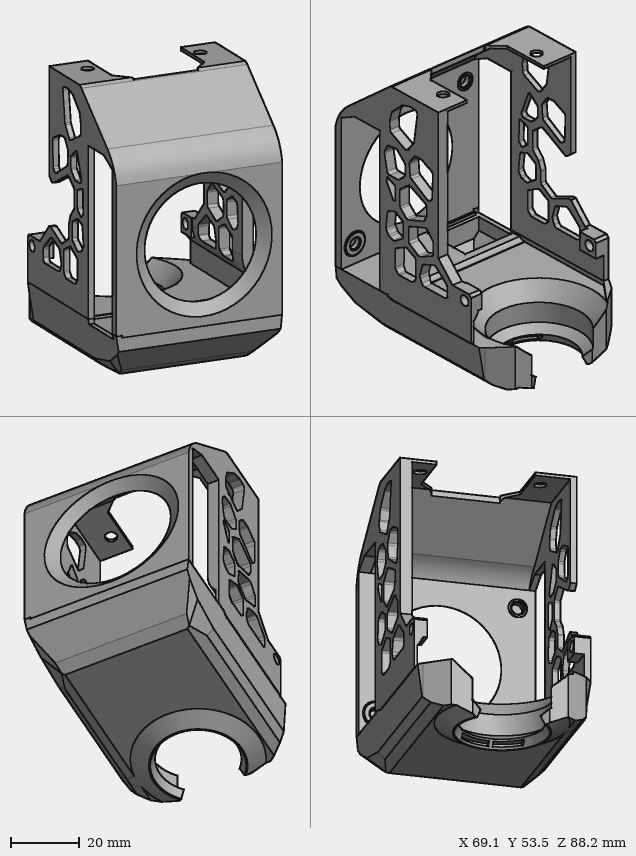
import cadquery as cq
import math

LENGTH = 69.1
WIDTH = 53.5
HEIGHT = 88.15
HALF_WIDTH = WIDTH / 2
MARGIN = 1.8

BACK_WALL = 2.65
LEFT_WALL = 3.6
RIGHT_WALL = 1.9
ROOF = 1.0
BACK_INNER_X = LENGTH - BACK_WALL
LEFT_INNER_Y = HALF_WIDTH - LEFT_WALL
RIGHT_INNER_Y = RIGHT_WALL - HALF_WIDTH
ROOF_UNDERSIDE = HEIGHT - ROOF

EAR_FRONT_X = 9.9
EAR_BOTTOM_Z = 27.1
EAR_TOP_Z = 33.15
EAR_CHAMFER = 0.9
LEFT_EAR_THICKNESS = 4.05
LEFT_EAR_LENGTH = 6.7
RIGHT_EAR_THICKNESS = 4.9
RIGHT_EAR_LENGTH = 7.05
EAR_HOLE_D = 3.4
EAR_HOLE_X = 12.8
EAR_HOLE_Z = 30.2

WALL_FRONT_X = 24.15
WALL_STEP_Z = 39.5
WALL_STEP_X = 18.0

SLOPE_TOP = (45.75, 87.5)
SLOPE_BOTTOM = (63.1, 74.0)
ROOF_EDGE_X = 44.4
SHOULDER_MID = (67.2, 69.5)
SHOULDER_END_Z = 64.4

INNER_SLOPE_TOP_X = 43.6
INNER_SLOPE_BOTTOM = (61.0, 73.9)
INNER_SHOULDER_MID = (64.5, 71.3)
INNER_SHOULDER_END_Z = 68.5

RECESS_TOP_Z = 30.8
RECESS_FOOT_Z = 24.15
RECESS_FOOT_Y = 25.7

WINDOW_RIGHT_X = 50.3
WINDOW_LEFT_X = 49.8
WINDOW_TOP_Z = 71.3
WINDOW_SILL_Z = 16.9
WINDOW_SLANT_X = 60.65

ROOF_NOTCH_Y = 0.7
ROOF_NOTCH_WIDTH = 29.9
ROOF_NOTCH_END_WIDTH = 20.8
ROOF_NOTCH_SLANT_X = 40.1
ROOF_NOTCH_END_X = 45.2
ROOF_HOLE_D = 3.7
ROOF_HOLE_X = 31.2
ROOF_HOLE_SPACING = 36.3
ROOF_HOLE_MID_Y = 0.4

FAN_HOLE_D = 35.9
FAN_HOLE_FLARE = 3.9
FAN_HOLE_Y = 1.6
FAN_HOLE_Z = 42.7
SCREW_HOLE_D = 3.6
SCREW_HOLE_RIM_D = 4.3
SCREW_HOLE_RIM_DEPTH = 0.35
SCREW_HOLE_DEPTH = 2.1
BOSS_HEIGHT = 0.3
BOSSES = [
    (-21.3, 62.5, 5.6, 5.6),
    (21.5, 24.6, 7.2, 8.1),
]

FLOOR_FRONT_Z = 17.0
FLOOR_BACK_Z = 17.9
FLOOR_STEP_X = 44.25
FLOOR_STEP_FOOT_Z = 17.2
FLOOR_STEP_MID = (45.7, 17.4)
FLOOR_STEP_END_X = 46.5
SEAM_Z = 18.5
RIM_START = (1.5, 17.9)
RIM_START_Y = -18.5
NOSE_TIP_LEFT_Y = 18.3
NOSE_TIP_RIGHT_Y = -17.0
NOSE_LEFT_CORNER = (5.5, 25.4)
NOSE_LEFT_END_X = 6.7
NOSE_RIGHT_CORNER = (5.6, -24.15)

BASE_BOTTOM_Z = 2.8
BASE_BOTTOM_END_X = 57.1
BACK_CHAMFER_LOW = (60.65, 5.3)
BACK_CHAMFER_TOP_Z = 13.75
SIDE_FOOT = (24.9, 6.5)
SIDE_CHAMFER = (22.7, 4.4)
BOTTOM_EDGE_Y = 19.6
LEFT_SHIFT = 0.7
FACET_START_X = 50.95
FACET_CORNER = (61.6, -25.2, 8.7)
FACET_FOOT = (58.35, -21.1, 4.05)
FACET_TIP = (67.0, -25.7, 12.0)

NOZZLE_X = 10.2
NOZZLE_BOTTOM_R = 14.4
NOZZLE_TOP_R = 22.7
BOWL_TOP_R = 20.7
BORE_R = 15.7
BOWL_FOOT_Z = 11.7
BORE_FOOT_Z = 5.1
THROAT_R = 12.5
THROAT_Z = 2.8
MOUTH_R = 13.9
LIP_END = (1.5, 9.2)
LIP_RIGHT_Y = -11.5

SLOT_BOTTOM_Z = 0.8
SLOT_TOP_Z = 2.2
SLOT_HALF_SPAN = 9.3
SLOT_RIB = 1.2
SLOT_RIB_Y = -0.5
SLOT_R = 15.0

DUCT_FRONT_X = 49.3
DUCT_BACK_X = 64.35
DUCT_LEDGE_X = 65.7
DUCT_LEFT_Y = -6.2
DUCT_RIGHT_Y = RIGHT_INNER_Y
DUCT_SHELL = 1.9
DUCT_CORNER_Y = -17.6
DUCT_CORNER_Z = 12.3


def prism_y(points, y_low, y_high):
    """Solid with an X-Z polygon, reaching from y_low to y_high."""
    return extrude_y(cq.Workplane("XZ").polyline(points).close(), y_low, y_high)


def extrude_y(outline, y_low, y_high):
    """Extrude a closed X-Z outline from y_low to y_high."""
    return outline.extrude(y_high - y_low).translate((0, y_high, 0))


def prism_z(points, z_low, z_high):
    """Solid with an X-Y polygon, reaching from z_low to z_high."""
    sketch = cq.Workplane("XY").workplane(offset=z_low).polyline(points).close()
    return sketch.extrude(z_high - z_low)


def block(x_range, y_range, z_range):
    """Box between two limits along each axis."""
    size = [high - low for low, high in (x_range, y_range, z_range)]
    corner = (x_range[0], y_range[0], z_range[0])
    return cq.Workplane("XY").box(*size, centered=False).translate(corner)


def turned_x(profile):
    """Solid of revolution about the X axis from (X, radius) points."""
    return cq.Workplane("XY").polyline(profile).close().revolve(360, (0, 0, 0), (1, 0, 0))


def mirrored(points):
    """Close a half outline with its mirror image in the second coordinate."""
    return points + [(x, -y) for x, y in reversed(points)]


def space_below_seam():
    """Everything under the seam between base and frame."""
    outline = (
        cq.Workplane("XZ")
        .moveTo(-MARGIN, -MARGIN)
        .lineTo(LENGTH + MARGIN, -MARGIN)
        .lineTo(LENGTH + MARGIN, FLOOR_BACK_Z)
        .lineTo(FLOOR_STEP_END_X, FLOOR_BACK_Z)
        .threePointArc(FLOOR_STEP_MID, (FLOOR_STEP_X, FLOOR_STEP_FOOT_Z))
        .lineTo(FLOOR_STEP_X, FLOOR_FRONT_Z)
        .lineTo(-MARGIN, FLOOR_FRONT_Z)
        .close()
    )
    floor = extrude_y(outline, -HALF_WIDTH - MARGIN, HALF_WIDTH + MARGIN)
    rim_side = prism_y(
        [
            (RIM_START[0], 0),
            RIM_START,
            (EAR_FRONT_X, SEAM_Z),
            (LENGTH, SEAM_Z),
            (LENGTH, 0),
        ],
        -HALF_WIDTH - MARGIN,
        0,
    )
    rim_plan = prism_z(
        [
            (RIM_START[0], RIM_START_Y),
            (EAR_FRONT_X, RIGHT_INNER_Y),
            (LENGTH, RIGHT_INNER_Y),
            (LENGTH, -HALF_WIDTH - MARGIN),
            (RIM_START[0], -HALF_WIDTH - MARGIN),
        ],
        0,
        HEIGHT,
    )
    return floor.union(rim_side.intersect(rim_plan))


def frame_outline():
    """Side outline of the frame, from the floor up to the roof."""
    return (
        cq.Workplane("XZ")
        .moveTo(EAR_FRONT_X, 0)
        .lineTo(EAR_FRONT_X, EAR_TOP_Z - EAR_CHAMFER)
        .lineTo(EAR_FRONT_X + EAR_CHAMFER, EAR_TOP_Z)
        .lineTo(WALL_STEP_X, EAR_TOP_Z)
        .lineTo(WALL_FRONT_X, WALL_STEP_Z)
        .lineTo(WALL_FRONT_X, HEIGHT)
        .lineTo(ROOF_EDGE_X, HEIGHT)
        .lineTo(*SLOPE_TOP)
        .lineTo(*SLOPE_BOTTOM)
        .threePointArc(SHOULDER_MID, (LENGTH, SHOULDER_END_Z))
        .lineTo(LENGTH, 0)
        .close()
    )


def frame_cavity():
    """Space between the two side walls."""
    outline = (
        cq.Workplane("XZ")
        .moveTo(0, 0)
        .lineTo(BACK_INNER_X, 0)
        .lineTo(BACK_INNER_X, INNER_SHOULDER_END_Z)
        .threePointArc(INNER_SHOULDER_MID, INNER_SLOPE_BOTTOM)
        .lineTo(INNER_SLOPE_TOP_X, ROOF_UNDERSIDE)
        .lineTo(0, ROOF_UNDERSIDE)
        .close()
    )
    return extrude_y(outline, RIGHT_INNER_Y, LEFT_INNER_Y)


def left_wall_recess():
    """Undercut that thins the foot of the left wall below a rounded edge."""
    drop = RECESS_TOP_Z - RECESS_FOOT_Z
    depth = RECESS_FOOT_Y - LEFT_INNER_Y
    radius = (drop ** 2 + depth ** 2) / (2 * depth)
    half_angle = math.asin(drop / radius) / 2
    middle = (
        LEFT_INNER_Y + radius * (1 - math.cos(half_angle)),
        RECESS_TOP_Z - radius * math.sin(half_angle),
    )
    return (
        cq.Workplane("YZ")
        .moveTo(LEFT_INNER_Y, RECESS_TOP_Z)
        .threePointArc(middle, (RECESS_FOOT_Y, RECESS_FOOT_Z))
        .lineTo(RECESS_FOOT_Y, 0)
        .lineTo(LEFT_INNER_Y, 0)
        .close()
        .extrude(WINDOW_RIGHT_X)
    )


def ears():
    """Thickened pads at the front of the walls, without their hole."""
    left = block(
        (EAR_FRONT_X, EAR_FRONT_X + LEFT_EAR_LENGTH),
        (HALF_WIDTH - LEFT_EAR_THICKNESS, HALF_WIDTH),
        (EAR_BOTTOM_Z, EAR_TOP_Z),
    )
    right = block(
        (EAR_FRONT_X, EAR_FRONT_X + RIGHT_EAR_LENGTH),
        (-HALF_WIDTH, RIGHT_EAR_THICKNESS - HALF_WIDTH),
        (EAR_BOTTOM_Z, EAR_TOP_Z),
    )
    pads = left.union(right)
    return pads.intersect(extrude_y(frame_outline(), -HALF_WIDTH, HALF_WIDTH))


def ear_hole():
    """One bore along Y through both ears."""
    circle = cq.Workplane("XZ").center(EAR_HOLE_X, EAR_HOLE_Z).circle(EAR_HOLE_D / 2)
    return extrude_y(circle, -HALF_WIDTH - MARGIN, HALF_WIDTH + MARGIN)


def window(front_x, y_low, y_high):
    """Tall opening at the back of a side wall, with a slanted upper corner."""
    return prism_y(
        [
            (front_x, 0),
            (front_x, WINDOW_TOP_Z),
            (WINDOW_SLANT_X, WINDOW_TOP_Z),
            (BACK_INNER_X, INNER_SHOULDER_END_Z),
            (BACK_INNER_X, 0),
        ],
        y_low,
        y_high,
    )


def roof_notch():
    """Notch in the roof, open to the front and narrowed at its end."""
    slant_end_x = ROOF_NOTCH_SLANT_X + (ROOF_NOTCH_WIDTH - ROOF_NOTCH_END_WIDTH) / 2
    half_plan = [
        (0, ROOF_NOTCH_WIDTH / 2),
        (ROOF_NOTCH_SLANT_X, ROOF_NOTCH_WIDTH / 2),
        (slant_end_x, ROOF_NOTCH_END_WIDTH / 2),
        (ROOF_NOTCH_END_X, ROOF_NOTCH_END_WIDTH / 2),
    ]
    cutter = prism_z(mirrored(half_plan), WINDOW_TOP_Z, HEIGHT + MARGIN)
    return cutter.translate((0, ROOF_NOTCH_Y, 0))


def roof_holes():
    """Screw holes in the two roof tabs."""
    return (
        cq.Workplane("XY")
        .workplane(offset=ROOF_UNDERSIDE - MARGIN)
        .center(ROOF_HOLE_X, ROOF_HOLE_MID_Y)
        .rarray(0.9, ROOF_HOLE_SPACING, 1, 2)
        .circle(ROOF_HOLE_D / 2)
        .extrude(ROOF + 2 * MARGIN)
    )


COMMON_CELLS = [
    (
        [
            (33.2, 84.6), (36.6, 84.9), (39.9, 83.9), (44.4, 79.9),
            (45.3, 76.5), (45.2, 72.9), (38.0, 69.4), (34.8, 73.6),
        ],
        1.15,
    ),
    ([(26.6, 67), (31.5, 69.3), (34.55, 69.3), (36.85, 66.0), (36.4, 61.3), (28.2, 56.5), (26.9, 58.1)], 1.1),
    ([(39.5, 45.05), (43.1, 47.2), (46.3, 46.0), (47.1, 39.7), (45.8, 37.9), (43.5, 37), (39.5, 39.7)], 1.1),
    ([(20.1, 27.4), (20.4, 32.0), (25.65, 36.6), (31.0, 34.55), (32.35, 30.1), (31.0, 27.4)], 1.4),
    ([(34.0, 35.2), (38.2, 37.3), (43.0, 34.8), (43.0, 28.2), (41.5, 26.7), (35.5, 26.7), (34.0, 28.2)], 0.7),
]
LEFT_CELLS = [
    ([(38.7, 64.9), (42.3, 68.2), (46.3, 67.9), (47.8, 65.05), (46.4, 58.3), (41.5, 58.3), (38.7, 60.9)], 1.1),
    ([(29.3, 55.0), (36.8, 58.5), (40.9, 55.5), (40.9, 49.45), (37.7, 46.6), (30.4, 49.2), (29.3, 51.6)], 0.9),
    ([(29.4, 47.4), (37.1, 44.7), (37.2, 39.3), (32.5, 36.4), (26.45, 39.3), (26.45, 44.1)], 1.1),
    ([(43.0, 55.8), (46.6, 57.2), (46.8, 55.8), (43.7, 50.4), (43.0, 50.8)], 0.3),
]
RIGHT_CELLS = [
    ([(38.7, 64.7), (42.5, 67.8), (45.8, 59.3), (45.05, 58.3), (41.5, 58.3), (38.7, 60.9)], 0.5),
    ([(43.0, 55.8), (46.6, 57.2), (46.9, 49.45), (45.5, 48.0), (43.0, 50.2)], 0.4),
    (
        [
            (21.2, 57.3), (26.3, 53.1), (36.8, 58.5), (40.9, 55.5), (40.9, 49.45), (38.35, 46.6),
            (37.3, 43.7), (37.2, 39.3), (32.5, 36.4), (25.4, 39.5), (21.2, 39.5),
        ],
        0.9,
    ),
]


def cells(cell_list, y_low, y_high):
    """Cutters for rounded lattice cells through one side wall."""
    cutters = cq.Workplane("XY")
    for corners, radius in cell_list:
        cutters = cutters.add(prism_y(corners, y_low, y_high).edges("|Y").fillet(radius))
    return cutters.combine()


def boss_with_hole(frame, y, z, face_d, foot_d):
    """Add a low round boss to the back wall and sink a blind hole into it."""
    face_x = BACK_INNER_X - BOSS_HEIGHT
    rim_foot_x = face_x + SCREW_HOLE_RIM_DEPTH
    hole_end_x = face_x + SCREW_HOLE_DEPTH
    boss = turned_x([
        (face_x, 0),
        (face_x, face_d / 2),
        (BACK_INNER_X, foot_d / 2),
        (BACK_INNER_X, 0),
    ])
    hole = turned_x([
        (face_x, 0),
        (face_x, SCREW_HOLE_RIM_D / 2),
        (rim_foot_x, SCREW_HOLE_D / 2),
        (hole_end_x, SCREW_HOLE_D / 2),
        (hole_end_x, 0),
    ])
    return frame.union(boss.translate((0, y, z))).cut(hole.translate((0, y, z)))


def fan_hole():
    """Large round opening in the back wall, flared to the outside."""
    inner_r = FAN_HOLE_D / 2
    hole = turned_x([
        (BACK_INNER_X, 0),
        (BACK_INNER_X, inner_r),
        (LENGTH, inner_r + FAN_HOLE_FLARE),
        (LENGTH, 0),
    ])
    return hole.translate((0, FAN_HOLE_Y, FAN_HOLE_Z))


def make_frame():
    """Upper body: two lattice walls, roof tabs and the back wall."""
    left_span = (0, HALF_WIDTH + MARGIN)
    right_span = (-HALF_WIDTH - MARGIN, 0)
    frame = extrude_y(frame_outline(), -HALF_WIDTH, HALF_WIDTH)
    frame = frame.cut(frame_cavity()).cut(left_wall_recess())
    frame = frame.union(ears()).cut(ear_hole())
    frame = frame.cut(window(WINDOW_LEFT_X, *left_span)).cut(window(WINDOW_RIGHT_X, *right_span))
    frame = frame.cut(cells(COMMON_CELLS + LEFT_CELLS, *left_span))
    frame = frame.cut(cells(COMMON_CELLS + RIGHT_CELLS, *right_span))
    frame = frame.cut(roof_notch()).cut(roof_holes()).cut(fan_hole())
    for boss in BOSSES:
        frame = boss_with_hole(frame, *boss)
    return frame.cut(space_below_seam())


def turned_nozzle(profile):
    """Solid of revolution about the nozzle axis from (radius, Z) points."""
    solid = cq.Workplane("XZ").polyline(profile).close().revolve(360, (0, 0, 0), (0, 1, 0))
    return solid.translate((NOZZLE_X, 0, 0))


def base_plan():
    """Plan outline of the base with its faceted nose."""
    return prism_z(
        [
            (0, NOSE_TIP_LEFT_Y),
            NOSE_LEFT_CORNER,
            (NOSE_LEFT_END_X, HALF_WIDTH),
            (LENGTH, HALF_WIDTH),
            (LENGTH, -HALF_WIDTH),
            (NOSE_RIGHT_CORNER[0], -HALF_WIDTH),
            NOSE_RIGHT_CORNER,
            (0, NOSE_TIP_RIGHT_Y),
        ],
        0,
        SEAM_Z,
    )


def right_nose_twist():
    """Wedge that blends the upright nose corner into the tapered right side."""
    foot_y, foot_z = SIDE_FOOT
    taper = (HALF_WIDTH - foot_y) / (SEAM_Z - foot_z)
    outer_y = -HALF_WIDTH - MARGIN
    bottom_y = SEAM_Z * taper - HALF_WIDTH
    bottom, top = [
        cq.Wire.makePolygon(
            [
                cq.Vector(*NOSE_RIGHT_CORNER, z),
                cq.Vector(EAR_FRONT_X, side_y, z),
                cq.Vector(EAR_FRONT_X, outer_y, z),
                cq.Vector(NOSE_RIGHT_CORNER[0], outer_y, z),
            ],
            close=True,
        )
        for side_y, z in [(bottom_y, 0), (-HALF_WIDTH, SEAM_Z)]
    ]
    return cq.Workplane(cq.Solid.makeLoft([bottom, top], True))


def base_side():
    """Side outline of the base with its chamfered rear underside."""
    return prism_y(
        [
            (0, BASE_BOTTOM_Z),
            (BASE_BOTTOM_END_X, BASE_BOTTOM_Z),
            BACK_CHAMFER_LOW,
            (LENGTH, BACK_CHAMFER_TOP_Z),
            (LENGTH, SEAM_Z),
            (0, SEAM_Z),
        ],
        -HALF_WIDTH,
        HALF_WIDTH,
    )


def base_section():
    """Cross-section of the base: tapered sides and chamfered lower edges."""
    edges = [SIDE_FOOT, SIDE_CHAMFER, (BOTTOM_EDGE_Y, BASE_BOTTOM_Z)]
    left = [(y + LEFT_SHIFT, z) for y, z in edges]
    right = [(-y, z) for y, z in reversed(edges)]
    outline = [(HALF_WIDTH, SEAM_Z)] + left + right + [(-HALF_WIDTH, SEAM_Z)]
    return cq.Workplane("YZ").polyline(outline).close().extrude(LENGTH)


def half_space(a, b, c):
    """Large block lying beyond the plane through three points, on the side away from the base."""
    origin = cq.Vector(*a)
    across = cq.Vector(*b) - origin
    normal = across.cross(cq.Vector(*c) - origin)
    if normal.z > 0:
        normal = -normal
    plane = cq.Plane(origin=origin, xDir=across, normal=normal)
    return cq.Workplane(plane).rect(2 * HEIGHT, 2 * HEIGHT).extrude(HEIGHT)


def rear_corner_facets():
    """Pairs of facets that round off the lower rear corners."""
    chamfer_start = (FACET_START_X, -SIDE_FOOT[0], SIDE_FOOT[1])
    chamfer_foot = (FACET_START_X, -SIDE_CHAMFER[0], SIDE_CHAMFER[1])
    right = [
        half_space(chamfer_start, FACET_CORNER, chamfer_foot),
        half_space(FACET_CORNER, FACET_TIP, FACET_FOOT),
    ]
    left = [facet.mirror("XZ").translate((0, LEFT_SHIFT, 0)) for facet in right]
    return right + left


def nozzle_bowl():
    """Stepped round opening through the nose, widening again at the mouth."""
    return turned_nozzle([
        (0, -MARGIN),
        (MOUTH_R, -MARGIN),
        (MOUTH_R, 0),
        (THROAT_R, THROAT_Z),
        (BORE_R, BORE_FOOT_Z),
        (BORE_R, BOWL_FOOT_Z),
        (BOWL_TOP_R, FLOOR_FRONT_Z),
        (BOWL_TOP_R, HEIGHT),
        (0, HEIGHT),
    ])


def lip_ends():
    """Trim that cuts the open ends of the lip at an angle."""
    bore_edge_y = math.sqrt(BORE_R ** 2 - NOZZLE_X ** 2)
    end_x, end_y = LIP_END
    return prism_z(
        [
            (-MARGIN, bore_edge_y),
            (0, bore_edge_y),
            (end_x, end_y),
            (end_x, -end_y),
            (0, LIP_RIGHT_Y),
            (-MARGIN, LIP_RIGHT_Y),
        ],
        -MARGIN,
        BORE_FOOT_Z,
    )


def air_slots():
    """Two shallow slots in the flared mouth, either side of a rib."""
    ring = turned_nozzle([
        (0, SLOT_BOTTOM_Z),
        (SLOT_R, SLOT_BOTTOM_Z),
        (SLOT_R, SLOT_TOP_Z),
        (0, SLOT_TOP_Z),
    ])
    x_range = (NOZZLE_X, LENGTH)
    z_range = (0, HEIGHT)
    slot_left = block(x_range, (SLOT_RIB_Y + SLOT_RIB / 2, SLOT_HALF_SPAN), z_range)
    slot_right = block(x_range, (-SLOT_HALF_SPAN, SLOT_RIB_Y - SLOT_RIB / 2), z_range)
    return ring.intersect(slot_left.union(slot_right))


def duct_pocket():
    """Pocket in the raised floor whose bottom follows the outer skin, with a ledge behind it."""
    floor_z = BASE_BOTTOM_Z + DUCT_SHELL
    slope = (BACK_CHAMFER_TOP_Z - BACK_CHAMFER_LOW[1]) / (LENGTH - BACK_CHAMFER_LOW[0])
    rise_x = BACK_CHAMFER_LOW[0] - DUCT_SHELL
    back_z = floor_z + slope * (DUCT_BACK_X - rise_x)
    side = prism_y(
        [
            (DUCT_FRONT_X, floor_z),
            (rise_x, floor_z),
            (DUCT_BACK_X, back_z),
            (DUCT_BACK_X, HEIGHT),
            (DUCT_FRONT_X, HEIGHT),
        ],
        DUCT_RIGHT_Y,
        DUCT_LEFT_Y,
    )
    section_points = [
        (DUCT_LEFT_Y, floor_z),
        (DUCT_CORNER_Y, floor_z),
        (DUCT_RIGHT_Y, DUCT_CORNER_Z),
        (DUCT_RIGHT_Y, HEIGHT),
        (DUCT_LEFT_Y, HEIGHT),
    ]
    section = cq.Workplane("YZ").polyline(section_points).close().extrude(LENGTH)
    ledge = block(
        (DUCT_FRONT_X, DUCT_LEDGE_X),
        (DUCT_RIGHT_Y, DUCT_LEFT_Y),
        (WINDOW_SILL_Z, HEIGHT),
    )
    return side.intersect(section).union(ledge)


def window_sill():
    """Lowered rim of the base under the right window."""
    return block(
        (WINDOW_RIGHT_X, BACK_INNER_X),
        (-HALF_WIDTH - MARGIN, RIGHT_INNER_Y),
        (WINDOW_SILL_Z, HEIGHT),
    )


def make_base():
    """Lower body: floor, faceted nose, nozzle and duct pocket."""
    base = base_side().intersect(base_section())
    for facet in rear_corner_facets():
        base = base.cut(facet)
    cone = turned_nozzle([
        (0, 0),
        (NOZZLE_BOTTOM_R, 0),
        (NOZZLE_TOP_R, SIDE_CHAMFER[1]),
        (0, SIDE_CHAMFER[1]),
    ])
    base = base.union(cone).intersect(base_plan()).intersect(space_below_seam())
    base = base.cut(right_nose_twist()).cut(nozzle_bowl()).cut(lip_ends()).cut(air_slots())
    return base.cut(duct_pocket()).cut(window_sill())


frame = make_frame()
base = make_base()
result = cq.Compound.makeCompound([frame.solids().val(), base.solids().val()])